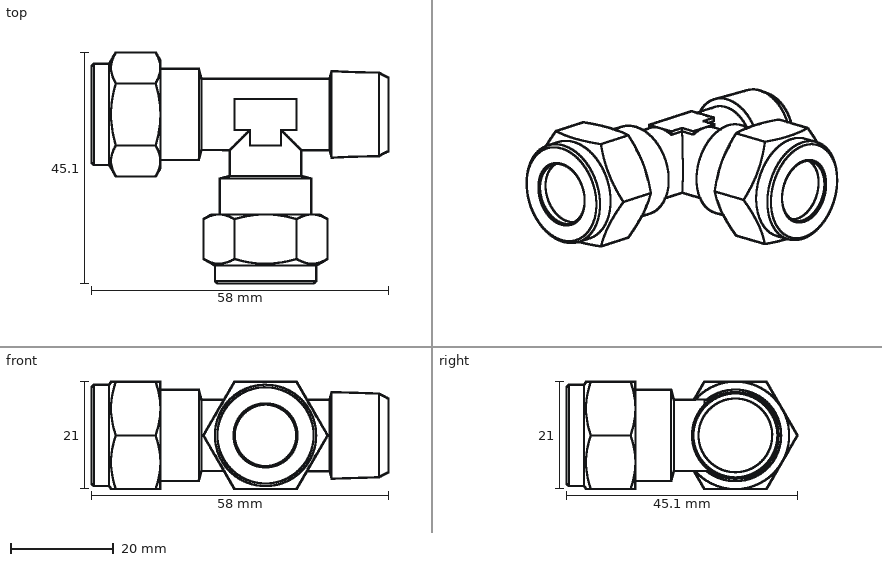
import cadquery as cq
import math

TUBE_RADIUS = 7.0

SHOULDER_ANGLE = 15.0

RUN_NUT_END = 34.0
RUN_COLLAR_START = 12.5
BRANCH_NUT_END = 33.0
BRANCH_COLLAR_START = 12.0

COLLAR_RADIUS = 8.95

HEX_ACROSS_FLATS = 21.0
HEX_LENGTH = 10.0
HEX_BEVEL_ANGLE = 30.0
RING_RADIUS = 9.9
RING_LENGTH = 3.5
RING_BEVEL = 0.5

RECESS_RADIUS = 6.0
RECESS_DEPTH = 1.8
RECESS_BEVEL = 0.25

TAPER_START = 12.5
TAPER_END = 24.0
TAPER_LARGE_RADIUS = 8.48
TAPER_DIAMETER_RATE = 1 / 16
TAPER_TIP_LENGTH = 1.9
TAPER_TIP_RADIUS = 7.2

PAD_WIDTH = 12.1
PAD_STROKE = PAD_WIDTH / 2


def revolve_about_z(points):
    """Revolve a closed (radius, z) outline about the Z axis."""
    return cq.Workplane("XZ").polyline(points).close().revolve(360, (0, 0, 0), (0, 1, 0))


def shoulder_length(outer_radius):
    """Axial length of a conical shoulder from the tube up to outer_radius."""
    return (outer_radius - TUBE_RADIUS) * math.tan(math.radians(SHOULDER_ANGLE))


def hex_nut(start):
    """Hexagon along Z with conical bevels at both ends and corners on the X axis."""
    end = start + HEX_LENGTH
    corner_radius = HEX_ACROSS_FLATS / math.sqrt(3)
    slope = math.tan(math.radians(HEX_BEVEL_ANGLE))
    inner_radius = HEX_ACROSS_FLATS / 2
    inner_bevel = (corner_radius - inner_radius) * slope
    outer_bevel = (corner_radius - RING_RADIUS) * slope
    prism = (
        cq.Workplane("XY")
        .workplane(offset=start)
        .polygon(6, 2 * corner_radius)
        .extrude(HEX_LENGTH)
    )
    envelope = revolve_about_z([
        (0, start),
        (inner_radius, start),
        (corner_radius, start + inner_bevel),
        (corner_radius, end - outer_bevel),
        (RING_RADIUS, end),
        (0, end),
    ])
    return prism.intersect(envelope)


def nut_arm(collar_start, nut_end):
    """Tube, collar and union nut along +Z from the tee centre."""
    hex_end = nut_end - RING_LENGTH
    recess_floor = nut_end - RECESS_DEPTH
    turned = revolve_about_z([
        (0, 0),
        (TUBE_RADIUS, 0),
        (TUBE_RADIUS, collar_start),
        (COLLAR_RADIUS, collar_start + shoulder_length(COLLAR_RADIUS)),
        (COLLAR_RADIUS, hex_end),
        (RING_RADIUS, hex_end),
        (RING_RADIUS, nut_end - RING_BEVEL),
        (RING_RADIUS - RING_BEVEL, nut_end),
        (0, nut_end),
    ])
    recess = revolve_about_z([
        (0, recess_floor),
        (RECESS_RADIUS, recess_floor),
        (RECESS_RADIUS, nut_end - RECESS_BEVEL),
        (RECESS_RADIUS + RECESS_BEVEL, nut_end),
        (0, nut_end),
    ])
    return turned.union(hex_nut(hex_end - HEX_LENGTH)).cut(recess)


def taper_arm():
    """Tube and tapered male end along +Z from the tee centre."""
    large_end = TAPER_START + shoulder_length(TAPER_LARGE_RADIUS)
    small_end = TAPER_END - TAPER_TIP_LENGTH
    small_radius = TAPER_LARGE_RADIUS - (small_end - large_end) * TAPER_DIAMETER_RATE / 2
    return revolve_about_z([
        (0, 0),
        (TUBE_RADIUS, 0),
        (TUBE_RADIUS, TAPER_START),
        (TAPER_LARGE_RADIUS, large_end),
        (small_radius, small_end),
        (TAPER_TIP_RADIUS, TAPER_END),
        (0, TAPER_END),
    ])


def marking_pad():
    """T-shaped pad whose top is level with the crown of the tube."""
    rises_from_axis = (True, True, False)
    bar = cq.Workplane("XY").box(PAD_WIDTH, PAD_STROKE, TUBE_RADIUS, centered=rises_from_axis)
    stem_length = PAD_WIDTH / 2
    stem = (
        cq.Workplane("XY")
        .center(0, -stem_length / 2)
        .box(PAD_STROKE, stem_length, TUBE_RADIUS, centered=rises_from_axis)
    )
    return bar.union(stem)


run_nut = nut_arm(RUN_COLLAR_START, RUN_NUT_END).rotate((0, 0, 0), (0, 0, 1), 90)
run_nut = run_nut.rotate((0, 0, 0), (0, 1, 0), -90)
branch_nut = nut_arm(BRANCH_COLLAR_START, BRANCH_NUT_END).rotate((0, 0, 0), (1, 0, 0), 90)
male_end = taper_arm().rotate((0, 0, 0), (0, 1, 0), 90)

result = run_nut.union(male_end).union(branch_nut).union(marking_pad())